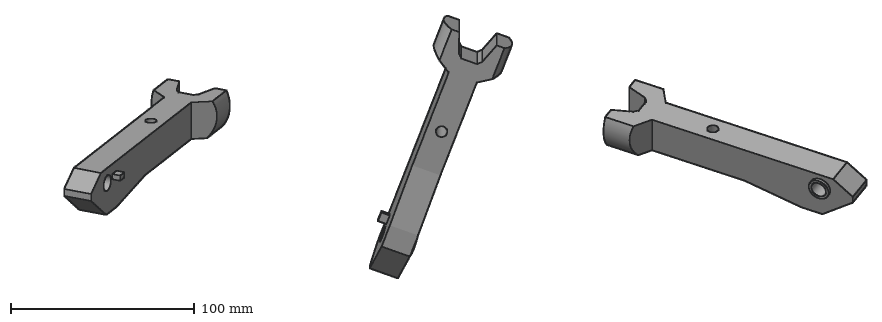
import cadquery as cq

length = 147.0
arm_width = 16.5
arm_depth = 21.8
heel_depth = 27.3
axis_drop = 9.0

tip_bevel_length = 12.0
tip_face_top_drop = 8.0
tip_face_bottom_drop = 12.0
heel_front = 18.7
heel_back = 31.6
heel_slope_end = 66.5

head_radius = 20.0
head_side_length = 16.0
head_length = 23.8
mouth_half_width = 10.9
mouth_taper_depth = 11.6
mouth_taper_half_width = 6.8
mouth_depth = 13.8
mouth_floor_half_width = 4.5

pivot_from_tip = 20.0
sleeve_diameter = 12.2
sleeve_projection = 1.9
pivot_bore = 9.0
peg_projection = 4.9
peg_length = 5.3
peg_height = 3.1
peg_from_tip = 26.0
vertical_hole_diameter = 6.2
vertical_hole_from_tip = 90.1


def make_arm():
    profile = [
        (length - head_length, 0),
        (tip_bevel_length, 0),
        (0, -tip_face_top_drop),
        (0, -tip_face_bottom_drop),
        (heel_front, -heel_depth),
        (heel_back, -heel_depth),
        (heel_slope_end, -arm_depth),
        (length - head_length, -arm_depth),
    ]
    return cq.Workplane("YZ").polyline(profile).close().extrude(arm_width / 2, both=True)


def make_head():
    right_side = [
        (arm_width / 2, length - head_length),
        (head_radius, length - head_side_length),
        (head_radius, length),
        (mouth_half_width, length),
        (mouth_taper_half_width, length - mouth_taper_depth),
        (mouth_floor_half_width, length - mouth_depth),
    ]
    left_side = [(-x, y) for x, y in reversed(right_side)]
    plate = cq.Workplane("XY").polyline(right_side + left_side).close().extrude(-arm_depth)
    envelope = (
        cq.Workplane("XZ", origin=(0, length, -axis_drop))
        .circle(head_radius)
        .extrude(head_length)
    )
    return plate.intersect(envelope)


def make_pivot_cylinder(diameter, cylinder_length):
    start = (-arm_width / 2 - sleeve_projection, pivot_from_tip, -axis_drop)
    return cq.Workplane("YZ", origin=start).circle(diameter / 2).extrude(cylinder_length)


def make_peg():
    corner = (arm_width / 2, peg_from_tip, -axis_drop)
    peg = cq.Workplane("XY").box(peg_projection, peg_length, peg_height, centered=False)
    return peg.translate(corner)


def make_vertical_hole():
    return (
        cq.Workplane("XY", origin=(0, vertical_hole_from_tip, 0))
        .circle(vertical_hole_diameter / 2)
        .extrude(-arm_depth)
    )


sleeve_length = arm_width + sleeve_projection
result = (
    make_arm()
    .union(make_head())
    .union(make_pivot_cylinder(sleeve_diameter, sleeve_length))
    .union(make_peg())
    .cut(make_pivot_cylinder(pivot_bore, sleeve_length))
    .cut(make_vertical_hole())
)